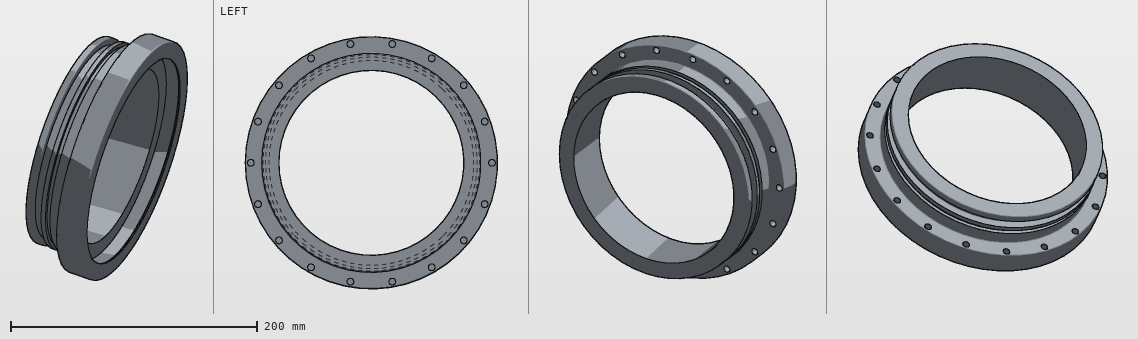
import cadquery as cq

total_length = 55.0
flange_length = 21.0
flange_radius = 102.5
bore_radius = 75.0
edge_fillet = 1.0
root_fillet = 1.0

recess_radius = 89.0
recess_depth = 13.0
lip_radius = 88.0
lip_length = 2.0

spigot_radius = 89.0
end_collar_length = 6.0
wide_groove_width = 8.0
wide_groove_radius = 83.25
wide_groove_fillet = 0.5
land_width = 4.0
narrow_groove_width = 4.0
narrow_groove_radius = 86.0

hole_count = 18
hole_circle_radius = 98.0
hole_diameter = 5.5
hole_depth = 12.0

pick_margin = 0.01

spigot_end = -total_length / 2
flange_end = total_length / 2
flange_face = flange_end - flange_length
wide_groove_start = spigot_end + end_collar_length
wide_groove_end = wide_groove_start + wide_groove_width
narrow_groove_start = wide_groove_end + land_width
narrow_groove_end = narrow_groove_start + narrow_groove_width
recess_floor = flange_end - recess_depth
lip_start = flange_end - lip_length


def disc(start, end, radius):
    """Solid cylinder along X between two positions."""
    return cq.Workplane("YZ", origin=(start, 0, 0)).circle(radius).extrude(end - start)


def ring_edge(x, radius):
    """Selector for the circular edge at one position and radius."""
    outer = radius + pick_margin
    inner = radius - pick_margin
    left = x - pick_margin
    right = x + pick_margin
    within = cq.selectors.BoxSelector((left, -outer, -outer), (right, outer, outer), boundingbox=True)
    smaller = cq.selectors.BoxSelector((left, -inner, -inner), (right, inner, inner), boundingbox=True)
    return within - smaller


def make_outside():
    """Solid stepped body with its two grooves and rounded edges."""
    steps = (
        (spigot_end, wide_groove_start, spigot_radius),
        (wide_groove_start, wide_groove_end, wide_groove_radius),
        (wide_groove_end, narrow_groove_start, spigot_radius),
        (narrow_groove_start, narrow_groove_end, narrow_groove_radius),
        (narrow_groove_end, flange_face, spigot_radius),
        (flange_face, flange_end, flange_radius),
    )
    body = cq.Workplane("YZ")
    for start, end, radius in steps:
        body = body.union(disc(start, end, radius))

    rounded_edges = (
        (spigot_end, spigot_radius, edge_fillet),
        (wide_groove_start, spigot_radius, wide_groove_fillet),
        (wide_groove_end, wide_groove_radius, wide_groove_fillet),
        (flange_face, spigot_radius, root_fillet),
        (flange_face, flange_radius, edge_fillet),
        (flange_end, flange_radius, edge_fillet),
    )
    for x, radius, fillet in rounded_edges:
        body = body.edges(ring_edge(x, radius)).fillet(fillet)
    return body


def make_inside():
    """Bore and recess as one cutter; the recess tapers at 45 degrees to its lip."""
    lip_bevel = recess_radius - lip_radius
    half_section = (
        cq.Workplane("XY")
        .moveTo(spigot_end, 0)
        .lineTo(spigot_end, bore_radius)
        .lineTo(recess_floor, bore_radius)
        .lineTo(recess_floor, recess_radius)
        .lineTo(lip_start, recess_radius)
        .lineTo(lip_start + lip_bevel, lip_radius)
        .lineTo(flange_end, lip_radius)
        .lineTo(flange_end, 0)
        .close()
    )
    return half_section.revolve(360, (0, 0, 0), (1, 0, 0))


def make_flange_holes():
    """Ring of blind holes, the first one on the +Y axis."""
    return (
        cq.Workplane("YZ", origin=(flange_face, 0, 0))
        .polarArray(hole_circle_radius, 0, 360, hole_count)
        .circle(hole_diameter / 2)
        .extrude(hole_depth)
    )


result = make_outside().cut(make_inside()).cut(make_flange_holes())